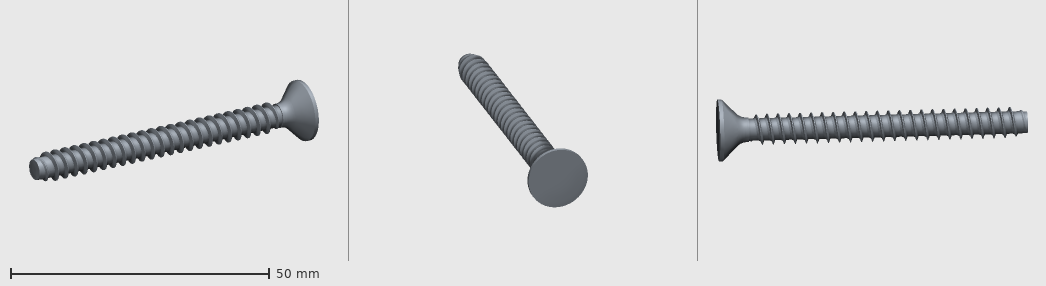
import cadquery as cq
import math

length = 60.0
head_radius = 6.0
rim_height = 0.8
shank_radius = 2.4
core_radius = 2.15
tip_radius = 2.05
tip_dish_depth = 0.2

cone_angle = 45.0
neck_fillet = 2.65
shank_end = 5.9
tip_taper_start = 58.8

crest_radius = 3.0
crest_width = 0.1
tooth_base_width = 0.7
ramp_width = 0.4
ramp_height = 0.2
full_thread_start = 7.55
full_thread_angle = 90.0
full_thread_turns = 23
full_thread_length = 49.25
run_in_turns = 0.7
run_out_turns = 1.4
root_sink = 0.05

pitch = full_thread_length / full_thread_turns
flank_slope = (tooth_base_width - crest_width) / 2 / (crest_radius - core_radius)
root_radius = core_radius - root_sink
faded_radius = core_radius - root_sink / 2
ramp_end = -tooth_base_width / 2 + ramp_height * flank_slope
ramp_sink = root_sink * ramp_width / ramp_height

ridge_section = [
    (ramp_end - ramp_width - ramp_sink, root_radius),
    (ramp_end, core_radius + ramp_height),
    (-crest_width / 2, crest_radius),
    (crest_width / 2, crest_radius),
    (tooth_base_width / 2 + root_sink * flank_slope, root_radius),
]


def body():
    """Countersunk head, filleted neck, shank, thread core and tip as one turned solid."""
    cone_slope = math.radians(cone_angle)
    cone_end = rim_height + (head_radius - shank_radius) / math.tan(cone_slope)
    tangent = neck_fillet * math.tan(cone_slope / 2)
    fillet_start = (
        shank_radius + tangent * math.sin(cone_slope),
        -(cone_end - tangent * math.cos(cone_slope)),
    )
    fillet_end = (shank_radius, -(cone_end + tangent))
    return (
        cq.Workplane("XY")
        .moveTo(0, 0)
        .lineTo(head_radius, 0)
        .lineTo(head_radius, -rim_height)
        .lineTo(*fillet_start)
        .tangentArcPoint(fillet_end, relative=False)
        .lineTo(shank_radius, -shank_end)
        .lineTo(core_radius, -shank_end)
        .lineTo(core_radius, -tip_taper_start)
        .lineTo(tip_radius, -length)
        .lineTo(0, -length + tip_dish_depth)
        .close()
        .revolve(360, (0, 0, 0), (0, 1, 0))
    )


def helix(depth, turns, start_radius, end_radius):
    """Right-hand helix around +Z from the given depth, its radius changing evenly along the way."""
    rise = turns * pitch
    center = cq.Vector(0, 0, depth)
    axis = cq.Vector(0, 0, 1)
    if start_radius == end_radius:
        return cq.Wire.makeHelix(pitch, rise, start_radius, center, axis)
    taper = math.atan2(end_radius - start_radius, rise)
    stretch = 1 / math.cos(taper)
    return cq.Wire.makeHelix(
        pitch * stretch, rise * stretch, start_radius, center, axis, math.degrees(taper)
    )


def thread_piece(first_turn, turns, start_limit, end_limit):
    """Solid ridge no higher than the two limit radii at its ends; full thread begins at turn 0."""
    depth = full_thread_start + first_turn * pitch
    edges = []
    for offset, radius in ridge_section:
        start_radius = min(radius, start_limit)
        end_radius = min(radius, end_limit)
        edges.append(helix(depth + offset, turns, start_radius, end_radius))
    sides = [cq.Face.makeRuledSurface(a, b) for a, b in zip(edges, edges[1:] + edges[:1])]
    caps = [
        cq.Face.makeFromWires(cq.Wire.makePolygon([point(e) for e in edges], close=True))
        for point in (cq.Wire.startPoint, cq.Wire.endPoint)
    ]
    ridge = cq.Solid.makeSolid(cq.Shell.makeShell(sides + caps))
    origin = cq.Vector(0, 0, 0)
    ridge = ridge.rotate(origin, cq.Vector(0, 0, 1), full_thread_angle + 360 * first_turn)
    return ridge.rotate(origin, cq.Vector(1, 0, 0), 90)


def thread_pieces():
    """Run-in below the shank, full-height thread, run-out near the tip."""
    return [
        thread_piece(-run_in_turns, run_in_turns, faded_radius, crest_radius),
        thread_piece(0, full_thread_turns, crest_radius, crest_radius),
        thread_piece(full_thread_turns, run_out_turns, crest_radius, faded_radius),
    ]


def thread_limit():
    """Cylinder over the whole screw, which cuts the run-out off flush with the tip."""
    return cq.Workplane("XZ").circle(head_radius).extrude(length)


result = body()
for piece in thread_pieces():
    result = result.union(cq.Workplane(piece).intersect(thread_limit()))